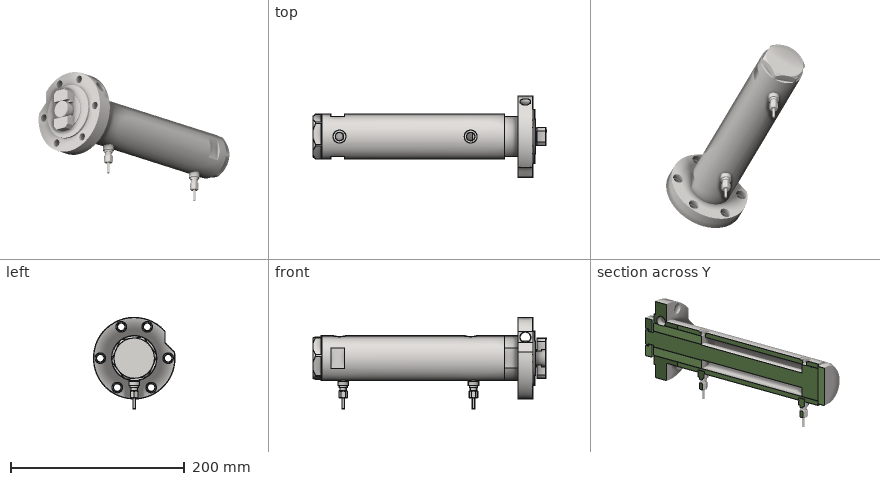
import cadquery as cq
import math


cap_hex_flats = 46.0
cap_hex_corner_diameter = 52.0
cap_face_diameter = 46.3
cap_chamfer_length = 3.2
cap_hex_length = 9.2
cap_collar_length = 1.5
cap_hex_turn = 7.0

tube_diameter = 52.0
tube_radius = tube_diameter / 2
tube_start = cap_hex_length + cap_collar_length
tube_end = 220.8
wrench_flat_offset = 23.2
wrench_flat_start = 20.7
wrench_flat_length = 15.5

port_positions = (30.7, 181.7)
port_seat_diameter = 14.8
port_diameter = 9.7
port_seat_floor = 24.8

neck_radius = 25.8
flange_start = 236.0
flange_end = 253.3
flange_diameter = 94.0
flange_radius = flange_diameter / 2
pilot_radius = 31.2
pilot_end = 255.8
bolt_circle_radius = 39.0
bolt_angles = (0, 67.5, 112.5, 180, 240, 300)
bolt_hole_diameter = 8.5
bolt_recess_diameter = 12.0
bolt_recess_depth = 6.7
notch_wall_offset = 35.5
notch_floor_height = 17.8
cross_hole_height = 24.0
cross_hole_diameter = 12.0

bore_radius = 20.0
bushing_start = 184.0
bushing_end = 256.5
piston_end = 34.5
rod_diameter = 20.2
rod_radius = rod_diameter / 2
rod_end = 268.5
rod_end_chamfer = 0.8
rod_slot_start = 256.8
rod_slot_end = 263.0
rod_slot_half_gap = 8.0

jaw_start = 258.0
jaw_end = rod_end
jaw_half_width = 10.5
jaw_height = 23.2
jaw_chamfer = 4.0
overall_length = 269.2
nub_length = overall_length - jaw_end
nub_width = 2.7
nub_height = 1.3
nub_offset = 6.5

switch_positions = (35.0, 185.0)
switch_stud_radius = 6.0
switch_stud_top = 23.0
switch_disc_radius = 6.2
switch_disc_top = 27.0
switch_disc_bottom = 31.5
switch_shoulder_diameter = 9.5
switch_shoulder_bottom = 34.0
switch_neck_radius = 3.8
switch_nut_flats = 9.0
switch_nut_top = 37.5
switch_nut_bottom = 46.0
switch_nut_chamfer = 1.0
cable_diameter = 3.0
overall_height = 105.3
cable_bottom = overall_height - flange_radius


def cylinder_along_x(radius, start, end):
    return cq.Workplane("YZ").workplane(offset=start).circle(radius).extrude(end - start)


def cylinder_along_z(x, radius, bottom, top):
    return cq.Workplane("XY", origin=(x, 0, bottom)).circle(radius).extrude(top - bottom)


def box_between(x_range, y_range, z_range):
    sizes = [high - low for low, high in (x_range, y_range, z_range)]
    corner = cq.Vector(x_range[0], y_range[0], z_range[0])
    return cq.Workplane(cq.Solid.makeBox(*sizes, corner))


def side_flats(start, end, offset):
    """The two slabs that cut flats on the -Y and +Y sides of a cylinder."""
    reach = 2 * tube_radius
    z_range = (-reach, reach)
    near = box_between((start, end), (-reach, -offset), z_range)
    return near.union(box_between((start, end), (offset, reach), z_range))


def make_cap():
    corner_radius = cap_hex_corner_diameter / 2
    face_radius = cap_face_diameter / 2
    hexagon = (
        cq.Workplane("YZ")
        .polygon(6, cap_hex_flats / math.cos(math.pi / 6))
        .extrude(cap_hex_length)
        .rotate((0, 0, 0), (1, 0, 0), -cap_hex_turn)
    )
    turned_blank = (
        cq.Workplane("XY")
        .lineTo(0, face_radius)
        .lineTo(cap_chamfer_length, corner_radius)
        .lineTo(cap_hex_length, corner_radius)
        .lineTo(cap_hex_length, 0)
        .close()
        .revolve(360, (0, 0, 0), (1, 0, 0))
    )
    collar = cylinder_along_x(tube_radius, cap_hex_length, tube_start)
    return hexagon.intersect(turned_blank).union(collar)


def make_tube():
    tube = cylinder_along_x(tube_radius, tube_start, tube_end)
    tube = tube.cut(cylinder_along_x(bore_radius, tube_start, tube_end))
    flat_end = wrench_flat_start + wrench_flat_length
    tube = tube.cut(side_flats(wrench_flat_start, flat_end, wrench_flat_offset))
    for x in port_positions:
        tube = tube.cut(cylinder_along_z(x, port_seat_diameter / 2, port_seat_floor, tube_radius))
        tube = tube.cut(cylinder_along_z(x, port_diameter / 2, 0, tube_radius))
    for x in switch_positions:
        tube = tube.cut(cylinder_along_z(x, switch_stud_radius, -tube_radius, -switch_stud_top))
    return tube


def notch_cutter():
    """Corner notch on the -Y side: an upright wall above a 45 degree floor."""
    reach = 2 * (flange_radius - notch_wall_offset)
    return (
        cq.Workplane("YZ")
        .workplane(offset=flange_start)
        .moveTo(-notch_wall_offset, flange_radius)
        .lineTo(-notch_wall_offset, notch_floor_height)
        .lineTo(-notch_wall_offset - reach, notch_floor_height - reach)
        .lineTo(-notch_wall_offset - reach, flange_radius)
        .close()
        .extrude(flange_end - flange_start)
    )


def make_head():
    neck = cylinder_along_x(neck_radius, tube_end, flange_start)
    neck = neck.cut(side_flats(tube_end, flange_start, wrench_flat_offset))
    flange = cylinder_along_x(flange_radius, flange_start, flange_end).cut(notch_cutter())
    head = neck.union(flange).union(cylinder_along_x(pilot_radius, flange_end, pilot_end))

    for angle in bolt_angles:
        y = bolt_circle_radius * math.cos(math.radians(angle))
        z = bolt_circle_radius * math.sin(math.radians(angle))
        hole = cylinder_along_x(bolt_hole_diameter / 2, flange_start, flange_end)
        recess_end = flange_start + bolt_recess_depth
        recess = cylinder_along_x(bolt_recess_diameter / 2, flange_start, recess_end)
        head = head.cut(hole.union(recess).translate((0, y, z)))

    cross_hole = (
        cq.Workplane("XZ", origin=((flange_start + flange_end) / 2, 0, cross_hole_height))
        .circle(cross_hole_diameter / 2)
        .extrude(flange_radius, both=True)
    )
    bore = cylinder_along_x(bore_radius, tube_end, pilot_end)
    return head.cut(cross_hole).cut(bore)


def make_bushing():
    bushing = cylinder_along_x(bore_radius, bushing_start, bushing_end)
    return bushing.cut(cylinder_along_x(rod_radius, bushing_start, bushing_end))


def make_rod():
    piston = cylinder_along_x(bore_radius, tube_start, piston_end)
    rod = cylinder_along_x(rod_radius, piston_end, rod_end).faces(">X").chamfer(rod_end_chamfer)
    rod = rod.union(piston)
    for low, high in ((rod_slot_half_gap, rod_radius), (-rod_radius, -rod_slot_half_gap)):
        slot = box_between((rod_slot_start, rod_slot_end), (-rod_radius, rod_radius), (low, high))
        rod = rod.cut(slot)
    return rod


def make_jaw():
    """The upper jaw: its tongue enters the rod slot and its recess clears the rod end."""
    y_range = (-jaw_half_width, jaw_half_width)
    jaw = box_between((jaw_start, jaw_end), y_range, (rod_slot_half_gap, jaw_height))
    jaw = jaw.edges("|X and >Z").chamfer(jaw_chamfer)
    return jaw.cut(box_between((rod_slot_end, jaw_end), y_range, (rod_slot_half_gap, rod_radius)))


def make_nub():
    """A small nub standing out of the end face of the upper jaw."""
    return box_between(
        (jaw_end, jaw_end + nub_length),
        (nub_offset - nub_width / 2, nub_offset + nub_width / 2),
        (jaw_height - nub_height, jaw_height),
    )


def make_switch(x):
    switch = cylinder_along_z(x, switch_stud_radius, -switch_disc_top, -switch_stud_top)
    switch = switch.union(cylinder_along_z(x, switch_disc_radius, -switch_disc_bottom, -switch_disc_top))
    switch = switch.union(
        cylinder_along_z(x, switch_shoulder_diameter / 2, -switch_shoulder_bottom, -switch_disc_bottom)
    )
    switch = switch.union(cylinder_along_z(x, switch_neck_radius, -switch_nut_top, -switch_shoulder_bottom))
    corner_diameter = switch_nut_flats / math.cos(math.pi / 6)
    nut = (
        cq.Workplane("XY", origin=(x, 0, -switch_nut_bottom))
        .polygon(6, corner_diameter)
        .extrude(switch_nut_bottom - switch_nut_top)
    )
    nut_blank = cylinder_along_z(x, corner_diameter / 2, -switch_nut_bottom, -switch_nut_top)
    nut = nut.intersect(nut_blank.edges().chamfer(switch_nut_chamfer))
    cable = cylinder_along_z(x, cable_diameter / 2, -cable_bottom, -switch_nut_bottom)
    return switch.union(nut).union(cable)


cap = make_cap()
tube = make_tube()
head = make_head()
bushing = make_bushing()
rod = make_rod()
upper_jaw = make_jaw().union(make_nub())
lower_jaw = make_jaw().mirror("XY")
switches = [make_switch(x).val() for x in switch_positions]

result = cq.Compound.makeCompound(
    [
        cap.val(),
        tube.val(),
        head.val(),
        bushing.val(),
        rod.val(),
        upper_jaw.val(),
        lower_jaw.val(),
        *switches,
    ]
)